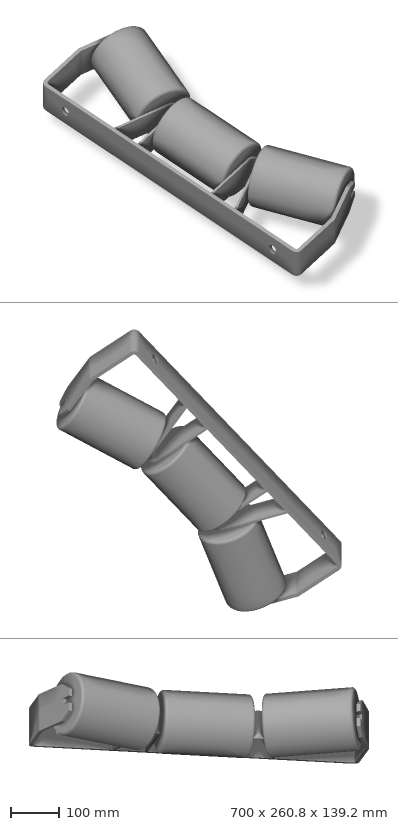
import cadquery as cq
import math

FRAME_LENGTH = 700.0
FRAME_HEIGHT = 80.0
FRAME_THICKNESS = 8.5
FRAME_BEND_RADIUS = 13.0
ARM_BEND_Y = 120.5
ARM_LENGTH = 120.0
ARM_TAPER_LENGTH = 29.5
ARM_TAPER_HEIGHT = 16.0

MOUNT_SLOT_WIDTH = 18.0
MOUNT_SLOT_HEIGHT = 26.0
MOUNT_SLOT_X = 283.0

ROLLER_DIAMETER = 133.0
ROLLER_LENGTH = 191.0
ROLLER_FILLET = 6.0
AXLE_DIAMETER = 20.0
AXLE_FLAT_HEIGHT = 15.0
SIDE_ANGLE = 20.0
SIDE_TILT = 2.0
SIDE_ROLLER_REACH = 89.0
SIDE_ROLLER_Z = -3.0
MIDDLE_ROLLER_Y = 122.5
MIDDLE_ROLLER_Z = -6.1
MIDDLE_ROLLER_GAP = 2.0

BRACKET_HEIGHT = 60.0
BRACKET_THICKNESS = 5.0
BRACKET_BEND_RADIUS = 12.5
BRACKET_TOP_Y = 152.5

SIN_SIDE = math.sin(math.radians(SIDE_ANGLE))
COS_SIDE = math.cos(math.radians(SIDE_ANGLE))
ARM_DIRECTION = cq.Vector(SIN_SIDE, COS_SIDE, 0)
AXIS_DIRECTION = cq.Vector(COS_SIDE, -SIN_SIDE, 0)

ARM_BEND = cq.Vector(-FRAME_LENGTH / 2, ARM_BEND_Y, 0)
BRACKET_LEG_X = -(ROLLER_LENGTH / 2 + MIDDLE_ROLLER_GAP)
ARCH_CENTRE = cq.Vector(BRACKET_LEG_X - BRACKET_BEND_RADIUS, BRACKET_TOP_Y - BRACKET_BEND_RADIUS, 0)

AXLE_AT_ARM = ARM_BEND + ARM_DIRECTION * SIDE_ROLLER_REACH
ARM_TO_LEG = (ARCH_CENTRE - AXLE_AT_ARM).dot(AXIS_DIRECTION) - BRACKET_BEND_RADIUS
SIDE_ROLLER_GAP = (ARM_TO_LEG - FRAME_THICKNESS - ROLLER_LENGTH) / 2
SIDE_ROLLER_CENTRE = (
    AXLE_AT_ARM
    + AXIS_DIRECTION * (FRAME_THICKNESS + SIDE_ROLLER_GAP + ROLLER_LENGTH / 2)
    + cq.Vector(0, 0, SIDE_ROLLER_Z)
)

ARM_STUB = SIDE_ROLLER_GAP + FRAME_THICKNESS
LEG_STUB = SIDE_ROLLER_GAP + BRACKET_THICKNESS
MIDDLE_STUB = MIDDLE_ROLLER_GAP + BRACKET_THICKNESS


def make_axle(left_stub, right_stub):
    """Round bar along X with two flats facing up and down, centred on the roller."""
    length = ROLLER_LENGTH + left_stub + right_stub
    bar = cq.Workplane("YZ").circle(AXLE_DIAMETER / 2).extrude(length)
    flats = cq.Workplane("YZ").rect(AXLE_DIAMETER, AXLE_FLAT_HEIGHT).extrude(length)
    return bar.intersect(flats).translate((-ROLLER_LENGTH / 2 - left_stub, 0, 0))


def make_roller(left_stub, right_stub):
    """Roller along X, centred on the origin, with an axle stub at each end."""
    drum = (
        cq.Workplane("YZ")
        .circle(ROLLER_DIAMETER / 2)
        .extrude(ROLLER_LENGTH)
        .edges("%CIRCLE")
        .fillet(ROLLER_FILLET)
        .translate((-ROLLER_LENGTH / 2, 0, 0))
    )
    return drum.union(make_axle(left_stub, right_stub))


def place_left(body):
    """Move a body from the roller's own axes to the left roller position."""
    tilted = body.rotate((0, 0, 0), (0, 1, 0), SIDE_TILT).rotate((0, 0, 0), (0, 0, 1), -SIDE_ANGLE)
    return tilted.translate(SIDE_ROLLER_CENTRE)


def place_middle(body):
    return body.translate((0, MIDDLE_ROLLER_Y, MIDDLE_ROLLER_Z))


def round_bend(body, outer_corner, inner_corner):
    """Round both faces of a strap bend about one centre."""
    outer_edge = cq.selectors.NearestToPointSelector(outer_corner.toTuple())
    inner_edge = cq.selectors.NearestToPointSelector(inner_corner.toTuple())
    body = body.edges("|Z").edges(outer_edge).fillet(FRAME_BEND_RADIUS)
    return body.edges("|Z").edges(inner_edge).fillet(FRAME_BEND_RADIUS - FRAME_THICKNESS)


def make_half_strap():
    """Left half of the bent bar, before its slots are cut."""
    thickness = FRAME_THICKNESS
    corner = cq.Vector(-FRAME_LENGTH / 2, 0, 0)
    inner_corner = corner + cq.Vector(thickness, thickness, 0)
    bend_drop = thickness * math.tan(math.radians(SIDE_ANGLE / 2))
    inner_bend = ARM_BEND + cq.Vector(thickness, -bend_drop, 0)
    tip = ARM_BEND + ARM_DIRECTION * ARM_LENGTH
    inner_tip = tip + AXIS_DIRECTION * thickness
    outline = [
        cq.Vector(0, 0, 0), corner, ARM_BEND, tip,
        inner_tip, inner_bend, inner_corner, cq.Vector(0, thickness, 0),
    ]
    strap = (
        cq.Workplane("XY")
        .polyline([(point.x, point.y) for point in outline])
        .close()
        .extrude(FRAME_HEIGHT / 2, both=True)
    )
    strap = round_bend(strap, corner, inner_corner)
    return round_bend(strap, ARM_BEND, inner_bend)


def make_arm_tapers():
    """Wedges that narrow the free end of the left arm from above and below."""
    arm_plane = cq.Plane(origin=ARM_BEND, xDir=ARM_DIRECTION, normal=AXIS_DIRECTION)
    half_height = FRAME_HEIGHT / 2
    wedge = (
        cq.Workplane(arm_plane)
        .moveTo(ARM_LENGTH - ARM_TAPER_LENGTH, half_height)
        .lineTo(ARM_LENGTH, half_height)
        .lineTo(ARM_LENGTH, half_height - ARM_TAPER_HEIGHT)
        .close()
        .extrude(FRAME_THICKNESS)
    )
    return wedge.union(wedge.mirror("XY"))


def make_arm_slot():
    """Slot that holds the left axle and runs out through the end of the arm."""
    run_out = (
        cq.Workplane("XY")
        .box(2 * ARM_STUB, ARM_LENGTH, AXLE_FLAT_HEIGHT, centered=(True, False, True))
        .translate((-ROLLER_LENGTH / 2 - ARM_STUB, 0, 0))
    )
    return place_left(run_out.union(make_axle(2 * ARM_STUB, 0)))


def make_mount_slot():
    return (
        cq.Workplane("XZ")
        .center(-MOUNT_SLOT_X, 0)
        .slot2D(MOUNT_SLOT_HEIGHT, MOUNT_SLOT_WIDTH, angle=90)
        .extrude(-FRAME_THICKNESS)
    )


def make_frame():
    half = make_half_strap().cut(make_arm_tapers()).cut(make_arm_slot()).cut(make_mount_slot())
    return half.union(half.mirror("YZ"))


def arch_point(radius, angle):
    angle = math.radians(angle)
    return ARCH_CENTRE + cq.Vector(radius * math.cos(angle), radius * math.sin(angle), 0)


def slanted_foot(start):
    """Point where the slanted leg, followed down from start, meets the strap."""
    return start - ARM_DIRECTION * ((start.y - FRAME_THICKNESS) / COS_SIDE)


def make_left_bracket():
    """Folded plate: one straight leg, a round arch and one slanted leg."""
    outer = BRACKET_BEND_RADIUS
    inner = outer - BRACKET_THICKNESS
    arch_angle = 180 - SIDE_ANGLE
    outer_start, outer_mid, outer_end = [arch_point(outer, arch_angle * part) for part in (0, 0.5, 1)]
    inner_start, inner_mid, inner_end = [arch_point(inner, arch_angle * part) for part in (0, 0.5, 1)]
    plate = (
        cq.Workplane("XY")
        .moveTo(outer_start.x, FRAME_THICKNESS)
        .lineTo(outer_start.x, outer_start.y)
        .threePointArc(outer_mid.toTuple()[:2], outer_end.toTuple()[:2])
        .lineTo(*slanted_foot(outer_end).toTuple()[:2])
        .lineTo(*slanted_foot(inner_end).toTuple()[:2])
        .lineTo(inner_end.x, inner_end.y)
        .threePointArc(inner_mid.toTuple()[:2], inner_start.toTuple()[:2])
        .lineTo(inner_start.x, FRAME_THICKNESS)
        .close()
        .extrude(BRACKET_HEIGHT)
        .translate((0, 0, -FRAME_HEIGHT / 2))
    )
    side_hole = place_left(make_axle(0, LEG_STUB))
    middle_hole = place_middle(make_axle(MIDDLE_STUB, 0))
    return plate.cut(side_hole).cut(middle_hole)


frame = make_frame()
middle_roller = place_middle(make_roller(MIDDLE_STUB, MIDDLE_STUB))
left_roller = place_left(make_roller(ARM_STUB, LEG_STUB))
left_bracket = make_left_bracket()

bodies = [frame.val(), middle_roller.val()]
for left_body in (left_roller, left_bracket):
    bodies.append(left_body.val())
    bodies.append(left_body.mirror("YZ").val())

result = cq.Compound.makeCompound(bodies)